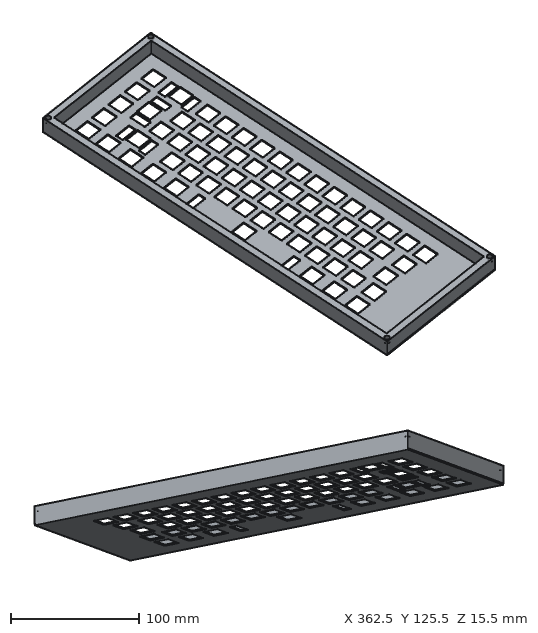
import cadquery as cq

length = 362.5
width = 125.5
height = 15.5

plate_thickness = 1.2
plate_end_step = 0.1

wall = 6.0

screw_diameter = 4.5
screw_depth = 4.5
screw_inset_x = 3.0
screw_inset_y = 3.08

key_span = 286.0
pitches_across = 15
pitch = key_span / pitches_across
switch_size = 13.8
first_key_x = -156.0
top_row_y = 38.0

slot_width = 7.0
slot_length = 15.2
slot_shift = 1.5
short_slot_offset = 12.0
space_slot_offset = 50.0

key_rows = [
    [0, 1.5] + [3 + i for i in range(13)],
    [0] + [2.5 + i for i in range(12)] + [14.75],
    [0] + [2.25 + i for i in range(12)] + [14.625],
    [0, 1.875] + [3.75 + i for i in range(11)] + [14.875],
    [0, 1.125, 2.375, 3.625, 4.875, 8.625, 12.375, 13.625, 14.875],
]

tall_key = (1.125, 1.5)

wide_keys = [
    (1.5, 0, short_slot_offset),
    (1.875, 3, short_slot_offset),
    (8.625, 4, space_slot_offset),
]


def key_position(column, row):
    """Centre of a key on the plate."""
    return (first_key_x + column * pitch, top_row_y - row * pitch)


def cutter(points, size_x, size_y):
    """Rectangular openings through the plate at the given centres."""
    return (
        cq.Workplane("XY")
        .pushPoints(points)
        .rect(size_x, size_y)
        .extrude(plate_thickness)
    )


def make_tray():
    """Base plate with a rectangular frame of four walls standing on it."""
    plate = (
        cq.Workplane("XY")
        .rect(length - 2 * plate_end_step, width)
        .extrude(plate_thickness)
    )
    wall_height = height - plate_thickness
    frame = (
        cq.Workplane("XY", origin=(0, 0, plate_thickness))
        .rect(length, width)
        .rect(length - 2 * wall, width - 2 * wall)
        .extrude(wall_height)
    )
    return plate.union(frame)


def cut_switches(body):
    """Square switch openings for every key."""
    centres = [
        key_position(column, row)
        for row, columns in enumerate(key_rows)
        for column in columns
    ]
    centres.append(key_position(*tall_key))
    return body.cut(cutter(centres, switch_size, switch_size))


def cut_stabilizers(body):
    """Slots either side of the wide keys, and above and below the tall key."""
    upright = []
    for column, row, offset in wide_keys:
        x, y = key_position(column, row)
        upright += [(x + side * offset, y - slot_shift) for side in (-1, 1)]
    x, y = key_position(*tall_key)
    level = [(x + slot_shift, y + side * short_slot_offset) for side in (-1, 1)]
    body = body.cut(cutter(upright, slot_width, slot_length))
    return body.cut(cutter(level, slot_length, slot_width))


def drill_screw_holes(body):
    """Blind holes down into the four corners of the rim."""
    drills = (
        cq.Workplane("XY", origin=(0, 0, height - screw_depth))
        .rect(length - 2 * screw_inset_x, width - 2 * screw_inset_y, forConstruction=True)
        .vertices()
        .circle(screw_diameter / 2)
        .extrude(screw_depth)
    )
    return body.cut(drills)


result = drill_screw_holes(cut_stabilizers(cut_switches(make_tray())))